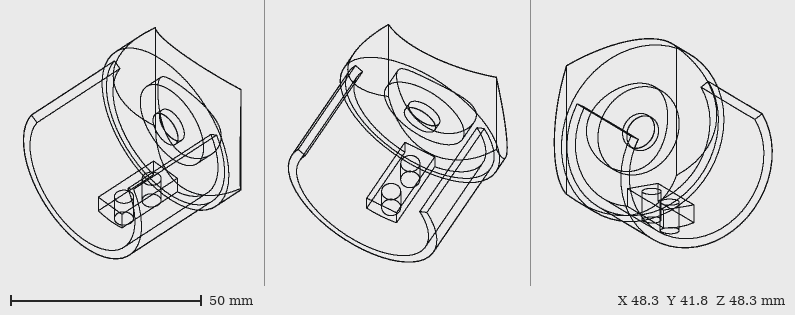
import cadquery as cq
import math


flange_radius = 24.15
saddle_radius = flange_radius
web_thickness = 5.45
rim_thickness = 4.0
center_hole_radius = 4.75
counterbore_radius = flange_radius / 2
counterbore_floor_y = 2.3

sleeve_outer_radius = 22.5
sleeve_inner_radius = 20.0
sleeve_length = 30.0
opening_angle = 120.0

block_width = 9.05
block_length = 20.0
block_top_z = -14.6
block_height = block_top_z + sleeve_outer_radius
screw_hole_radius = 2.5
screw_hole_spacing = block_length / 2


def polar_point(radius, angle):
    """Point in the X-Z plane at an angle in degrees from +X."""
    radians = math.radians(angle)
    return (radius * math.cos(radians), radius * math.sin(radians))


def cylinder_along_y(radius, y_start, y_end):
    plane = cq.Workplane("XZ", origin=(0, y_start, 0))
    return plane.circle(radius).extrude(y_start - y_end)


def make_flange():
    """Disc trimmed by two 45 degree side planes and hollowed by the saddle."""
    peak_y = rim_thickness + flange_radius
    profile = (
        cq.Workplane("XY", origin=(0, 0, -flange_radius))
        .moveTo(-flange_radius, 0)
        .lineTo(flange_radius, 0)
        .lineTo(flange_radius, rim_thickness)
        .lineTo(0, peak_y)
        .lineTo(-flange_radius, rim_thickness)
        .close()
        .extrude(2 * flange_radius)
    )
    saddle = (
        cq.Workplane("XY", origin=(0, web_thickness + saddle_radius, -flange_radius))
        .circle(saddle_radius)
        .extrude(2 * flange_radius)
    )
    disc = cylinder_along_y(flange_radius, 0, peak_y)
    return disc.intersect(profile).cut(saddle)


def make_sleeve():
    """C-shaped wall with radial ends, open toward +Z."""
    right_end = 90 - opening_angle / 2
    left_end = 90 + opening_angle / 2
    return (
        cq.Workplane("XZ")
        .moveTo(*polar_point(sleeve_outer_radius, right_end))
        .threePointArc((0, -sleeve_outer_radius), polar_point(sleeve_outer_radius, left_end))
        .lineTo(*polar_point(sleeve_inner_radius, left_end))
        .threePointArc((0, -sleeve_inner_radius), polar_point(sleeve_inner_radius, right_end))
        .close()
        .extrude(sleeve_length)
    )


def make_block():
    """Block from the sleeve floor up, its underside following the sleeve."""
    block = cq.Workplane("XY", origin=(0, -block_length / 2, -sleeve_outer_radius)).box(
        block_width, block_length, block_height, centered=(True, True, False)
    )
    return block.intersect(cylinder_along_y(sleeve_outer_radius, -block_length, 0))


def make_screw_holes():
    """Two vertical holes through the block and the sleeve wall below it."""
    return (
        cq.Workplane("XY", origin=(0, -block_length / 2, -sleeve_outer_radius))
        .rarray(0.5, screw_hole_spacing, 1, 2)
        .circle(screw_hole_radius)
        .extrude(block_height)
    )


def make_center_hole():
    """Hole along the sleeve axis, counterbored from the saddle side."""
    saddle_axis_y = web_thickness + saddle_radius
    hole = cylinder_along_y(center_hole_radius, 0, saddle_axis_y)
    counterbore = cylinder_along_y(counterbore_radius, counterbore_floor_y, saddle_axis_y)
    return hole.union(counterbore)


body = make_flange().union(make_sleeve()).union(make_block())
result = body.cut(make_center_hole()).cut(make_screw_holes())